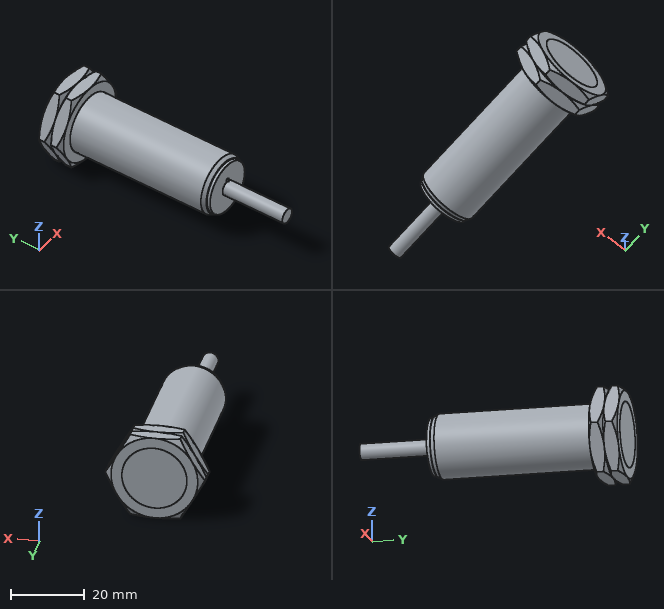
import cadquery as cq
import math

total_length = 74
cable_length = 20
cable_diameter = 4.5
body_diameter = 18.0
lip_diameter = 16.0
lip_length = 1.0
cone_length = 1.3
cone_end_diameter = 16.65
indicator_radius = 0.5
indicator_height = 2.75

nut_count = 2
nut_across_flats = 24.0
nut_thickness = 4.0
nut_chamfer_angle = 30

body_length = total_length - cable_length
body_radius = body_diameter / 2
nut_across_corners = nut_across_flats / math.cos(math.radians(30))


def make_sensor():
    """Stepped round body with its cable and domed indicator, back face at Y = 0."""
    lip_start = -body_length + lip_length
    cone_start = lip_start + cone_length
    sensor = (
        cq.Workplane("XY")
        .moveTo(0, 0)
        .lineTo(body_radius, 0)
        .lineTo(body_radius, cone_start)
        .lineTo(cone_end_diameter / 2, lip_start)
        .lineTo(lip_diameter / 2, lip_start)
        .lineTo(lip_diameter / 2, -body_length)
        .lineTo(cable_diameter / 2, -body_length)
        .lineTo(cable_diameter / 2, -total_length)
        .lineTo(0, -total_length)
        .close()
        .revolve(360, (0, 0, 0), (0, 1, 0))
    )
    indicator = cq.Workplane("XY").sphere(indicator_radius).translate(
        (0, -body_length, indicator_height)
    )
    return sensor.union(indicator)


def make_nut(back_y):
    """Hexagon nut with both ends chamfered, its back face at back_y."""
    flat_radius = nut_across_flats / 2
    corner_radius = nut_across_corners / 2
    chamfer_depth = (corner_radius - flat_radius) * math.tan(math.radians(nut_chamfer_angle))

    hexagon = (
        cq.Workplane("XZ")
        .polygon(6, nut_across_corners)
        .circle(body_radius)
        .extrude(nut_thickness)
    )
    trimming_disc = (
        cq.Workplane("XY")
        .moveTo(0, 0)
        .lineTo(flat_radius, 0)
        .lineTo(corner_radius, -chamfer_depth)
        .lineTo(corner_radius, chamfer_depth - nut_thickness)
        .lineTo(flat_radius, -nut_thickness)
        .lineTo(0, -nut_thickness)
        .close()
        .revolve(360, (0, 0, 0), (0, 1, 0))
    )
    return hexagon.intersect(trimming_disc).translate((0, back_y, 0))


sensor = make_sensor()

nuts = [make_nut(-i * nut_thickness) for i in range(nut_count)]

result = cq.Compound.makeCompound([sensor.val(), *[nut.val() for nut in nuts]])